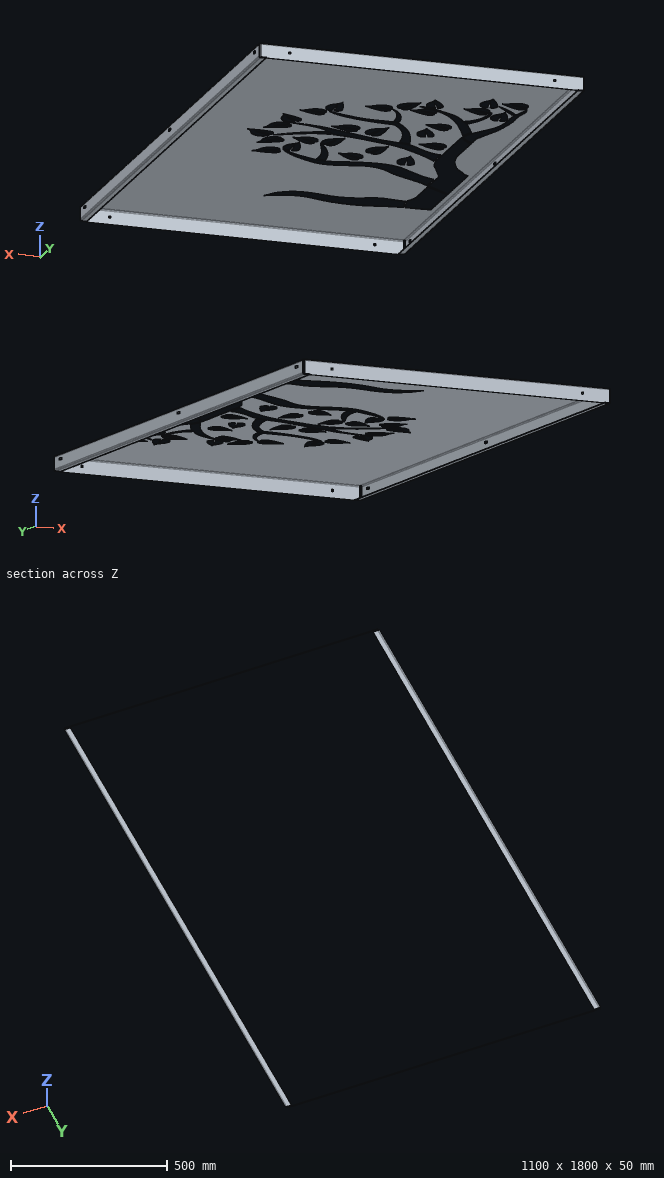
import cadquery as cq

LENGTH = 1800.0
WIDTH = 1100.0
HEIGHT = 50.0
SHEET = 2.2
BEND = 5.0
LIP = 23.0
LIP_CLEARANCE = 2.3

HOLE_DIAMETER = 7.0
HOLE_EDGE = 103.0
SLOT_LENGTH = 18.0
SLOT_HEIGHT = 7.0
SLOT_EDGE = 52.0
SLOT_Z = 32.0

TRUNK_LEFT = 25.0
STEM_LEFT = 122.0
STEM_RIGHT = 171.0
TRUNK_RIGHT = 110.0

TRUNK_FOOT = [
    [(TRUNK_LEFT, 331.0), (TRUNK_LEFT, 495.0)],
    [(TRUNK_LEFT, 495.0), (TRUNK_RIGHT, 553.0)],
    [(TRUNK_RIGHT, 553.0), (TRUNK_RIGHT, 435.0)],
    [(TRUNK_RIGHT, 435.0), (115.0, 415.0), (126.0, 392.0)],
    [(126.0, 392.0), (120.0, 364.0), (112.0, 328.0)],
    [(112.0, 328.0), (72.0, 328.0), (TRUNK_LEFT, 331.0)],
]
ROOT = [
    [(117.0, 325.0), (120.0, 347.0), (126.0, 365.0), (130.0, 389.0)],
    [(130.0, 389.0), (157.0, 389.0), (207.0, 395.0), (241.0, 389.0), (275.0, 375.0), (311.0, 365.0), (347.0, 362.0),
     (405.0, 369.0), (468.0, 376.0), (508.0, 369.0), (531.0, 356.0), (553.0, 338.0), (565.0, 319.0), (578.0, 300.0)],
    [(578.0, 300.0), (544.0, 315.0), (513.0, 328.0), (477.0, 333.0), (446.0, 331.0), (390.0, 315.0), (351.0, 306.0),
     (299.0, 300.0), (252.0, 302.0), (187.0, 315.0), (117.0, 325.0)],
]
TRUNK = [
    [(TRUNK_LEFT, 502.0), (TRUNK_LEFT, 704.0)],
    [(TRUNK_LEFT, 704.0), (38.0, 710.0), (54.0, 729.0), (75.0, 752.0), (92.0, 780.0), (110.0, 823.0), (STEM_LEFT, 882.0)],
    [(STEM_LEFT, 882.0), (STEM_LEFT, 1019.0)],
    [(STEM_LEFT, 1019.0), (151.0, 1045.0), (STEM_RIGHT, 1073.0)],
    [(STEM_RIGHT, 1073.0), (STEM_RIGHT, 810.0)],
    [(STEM_RIGHT, 810.0), (165.0, 783.0), (160.0, 765.0), (145.0, 738.0), (128.0, 700.0), (115.0, 675.0),
     (TRUNK_RIGHT, 640.0)],
    [(TRUNK_RIGHT, 640.0), (TRUNK_RIGHT, 560.0)],
    [(TRUNK_RIGHT, 560.0), (TRUNK_LEFT, 502.0)],
]
LEFT_BOUGH = [
    [(STEM_LEFT, 1028.0), (STEM_LEFT, 1076.0)],
    [(STEM_LEFT, 1076.0), (105.0, 1127.0), (92.0, 1160.0), (81.0, 1193.0), (74.0, 1235.0), (68.0, 1278.0), (68.0, 1341.0),
     (61.0, 1386.0), (70.0, 1422.0)],
    [(70.0, 1422.0), (68.0, 1395.0), (74.0, 1373.0), (85.0, 1332.0), (86.0, 1269.0), (92.0, 1230.0), (99.0, 1206.0),
     (112.0, 1183.0), (140.0, 1140.0), (155.0, 1118.0), (167.0, 1080.0)],
    [(167.0, 1080.0), (167.0, 1071.0)],
    [(167.0, 1071.0), (151.0, 1053.0), (STEM_LEFT, 1028.0)],
]
LEFT_TWIG = [
    [(85.0, 1352.0), (117.0, 1385.0), (160.0, 1415.0)],
    [(160.0, 1415.0), (131.0, 1386.0), (94.0, 1346.0)],
    [(94.0, 1346.0), (85.0, 1352.0)],
]
UPPER_BOUGH = [
    [(173.0, 1089.0), (167.0, 1107.0), (157.0, 1129.0)],
    [(157.0, 1129.0), (178.0, 1168.0), (200.0, 1210.0)],
    [(200.0, 1210.0), (220.0, 1231.0)],
    [(220.0, 1231.0), (238.0, 1255.0), (270.0, 1283.0), (315.0, 1307.0), (360.0, 1330.0), (400.0, 1334.0)],
    [(400.0, 1334.0), (360.0, 1321.0), (328.0, 1305.0), (288.0, 1275.0), (252.0, 1233.0), (215.0, 1174.0), (173.0, 1089.0)],
]
UPPER_TWIG = [
    [(196.0, 1215.0), (173.0, 1256.0), (160.0, 1296.0), (160.0, 1345.0)],
    [(160.0, 1345.0), (165.0, 1345.0)],
    [(165.0, 1345.0), (167.0, 1305.0), (187.0, 1258.0), (216.0, 1233.0)],
    [(216.0, 1233.0), (196.0, 1215.0)],
]
MIDDLE_BOUGH = [
    [(178.0, 814.0), (178.0, 880.0)],
    [(178.0, 880.0), (200.0, 884.0), (255.0, 915.0), (306.0, 947.0), (360.0, 958.0), (428.0, 972.0), (468.0, 985.0),
     (547.0, 1010.0), (621.0, 1033.0), (684.0, 1044.0), (756.0, 1048.0)],
    [(756.0, 1048.0), (684.0, 1037.0), (635.0, 1022.0), (603.0, 1003.0)],
    [(603.0, 1003.0), (570.0, 972.0)],
    [(570.0, 972.0), (491.0, 961.0), (405.0, 940.0), (342.0, 922.0), (270.0, 882.0), (216.0, 846.0), (178.0, 814.0)],
]
DROOPING_TWIG = [
    [(578.0, 970.0), (601.0, 994.0)],
    [(601.0, 994.0), (653.0, 970.0), (693.0, 949.0), (750.0, 905.0)],
    [(750.0, 905.0), (688.0, 940.0), (643.0, 960.0), (578.0, 970.0)],
]
RISING_BOUGH = [
    [(306.0, 954.0), (324.0, 1012.0), (344.0, 1060.0), (380.0, 1116.0), (414.0, 1152.0)],
    [(414.0, 1152.0), (432.0, 1155.0), (495.0, 1155.0), (572.0, 1166.0), (620.0, 1180.0), (659.0, 1195.0)],
    [(659.0, 1195.0), (615.0, 1168.0), (562.0, 1150.0), (511.0, 1140.0), (418.0, 1130.0)],
    [(418.0, 1130.0), (380.0, 1084.0), (356.0, 1030.0), (344.0, 960.0)],
    [(344.0, 960.0), (306.0, 954.0)],
]
RISING_TWIG = [
    [(412.0, 1155.0), (414.0, 1177.0), (435.0, 1238.0), (475.0, 1282.0)],
    [(475.0, 1282.0), (448.0, 1242.0), (434.0, 1195.0), (430.0, 1157.0)],
    [(430.0, 1157.0), (412.0, 1155.0)],
]
LOWER_BOUGH = [
    [(117.0, 565.0), (117.0, 632.0)],
    [(117.0, 632.0), (133.0, 637.0), (198.0, 675.0), (274.0, 722.0), (310.0, 730.0), (360.0, 730.0), (450.0, 713.0),
     (513.0, 702.0), (572.0, 718.0), (630.0, 745.0), (675.0, 775.0)],
    [(675.0, 775.0), (630.0, 730.0), (576.0, 697.0), (513.0, 671.0), (450.0, 675.0), (351.0, 695.0), (293.0, 673.0),
     (261.0, 648.0), (198.0, 614.0), (117.0, 565.0)],
]
LOWER_TWIG = [
    [(510.0, 705.0), (515.0, 747.0), (530.0, 792.0), (580.0, 871.0)],
    [(580.0, 871.0), (553.0, 803.0), (542.0, 765.0), (540.0, 715.0)],
    [(540.0, 715.0), (510.0, 705.0)],
]
BRANCHES = [
    TRUNK_FOOT, ROOT, TRUNK, LEFT_BOUGH, LEFT_TWIG, UPPER_BOUGH, UPPER_TWIG, MIDDLE_BOUGH,
    DROOPING_TWIG, RISING_BOUGH, RISING_TWIG, LOWER_BOUGH, LOWER_TWIG,
]

VEIN_TIP = (0.6, 0.05)
LEAF = [
    [VEIN_TIP, (0.34, 0.06), (0.03, 0.04)],
    [(0.03, 0.04), (0.03, 0.17), (0.15, 0.3), (0.4, 0.35), (0.64, 0.25), (0.8, 0.09), (1.0, 0.0)],
    [(1.0, 0.0), (0.8, -0.08), (0.6, -0.17), (0.36, -0.24), (0.14, -0.26), (0.03, -0.18), (0.03, -0.04)],
    [(0.03, -0.04), (0.32, -0.02), VEIN_TIP],
]

LEFT_FULL_LEAVES = [
    ((72.0, 1427.0), (160.0, 1445.0)),
    ((171.0, 1337.0), (260.0, 1357.0)),
    ((330.0, 1282.0), (418.0, 1290.0)),
    ((477.0, 1278.0), (567.0, 1283.0)),
    ((666.0, 1175.0), (752.0, 1179.0)),
    ((235.0, 1143.0), (322.0, 1163.0)),
    ((187.0, 952.0), (279.0, 965.0)),
    ((510.0, 1044.0), (603.0, 1051.0)),
    ((735.0, 1030.0), (806.0, 972.0)),
    ((711.0, 880.0), (775.0, 817.0)),
    ((598.0, 877.0), (684.0, 904.0)),
    ((679.0, 763.0), (763.0, 730.0)),
    ((409.0, 761.0), (493.0, 794.0)),
]
RIGHT_FULL_LEAVES = [
    ((187.0, 1391.0), (203.0, 1483.0)),
    ((115.0, 1273.0), (122.0, 1365.0)),
    ((345.0, 1335.0), (376.0, 1415.0)),
    ((454.0, 1295.0), (410.0, 1372.0)),
    ((652.0, 1205.0), (648.0, 1298.0)),
    ((279.0, 1042.0), (308.0, 1125.0)),
    ((459.0, 1005.0), (425.0, 1095.0)),
    ((725.0, 1062.0), (792.0, 1125.0)),
    ((760.0, 905.0), (850.0, 940.0)),
    ((562.0, 864.0), (522.0, 947.0)),
    ((648.0, 770.0), (648.0, 862.0)),
    ((250.0, 745.0), (265.0, 837.0)),
    ((398.0, 825.0), (364.0, 910.0)),
]


def closed_face(sides):
    """Face inside a closed outline of straight and curved sides, at the height of the sheet."""
    edges = []
    for side in sides:
        points = [cq.Vector(x, y, HEIGHT - SHEET) for x, y in side]
        if len(points) == 2:
            edges.append(cq.Edge.makeLine(*points))
        else:
            edges.append(cq.Edge.makeSpline(points))
    return cq.Face.makeFromWires(cq.Wire.assembleEdges(edges))


def cutter(sides):
    """Solid that cuts an outline through the sheet, placed on the centred panel."""
    solid = cq.Solid.extrudeLinear(closed_face(sides), cq.Vector(0, 0, SHEET))
    return solid.translate(cq.Vector(-WIDTH / 2, -LENGTH / 2, 0))


def placed_leaf(stalk, tip, full_side):
    """Leaf outline scaled and turned to run from stalk to tip; full_side is 1 (left) or -1 (right)."""
    along_x = tip[0] - stalk[0]
    along_y = tip[1] - stalk[1]

    def place(u, v):
        v *= full_side
        return (stalk[0] + u * along_x - v * along_y, stalk[1] + u * along_y + v * along_x)

    return [[place(u, v) for u, v in side] for side in LEAF]


def rounded_bar(size_x, size_y, size_z, edges, radius, bottom):
    """Box centred on the Z axis, standing on the given height, with the selected edges rounded."""
    base = cq.Workplane("XY", origin=(0, 0, bottom))
    bar = base.box(size_x, size_y, size_z, centered=(True, True, False))
    return bar.edges(edges).fillet(radius)


def folded_long_sides():
    """Sheet with its long sides folded down and then in, as a C on each side."""
    run = LENGTH - 2 * BEND
    inner_radius = BEND - SHEET
    outside = rounded_bar(WIDTH, run, HEIGHT, "|Y", BEND, 0)
    inside = rounded_bar(WIDTH - 2 * SHEET, run, HEIGHT - 2 * SHEET, "|Y", inner_radius, SHEET)
    opening = cq.Workplane("XY").box(WIDTH - 2 * LIP, run, HEIGHT)
    return outside.cut(inside).cut(opening)


def folded_short_sides():
    """Sheet with its short sides folded down, cut at the lower corners to pass the lips."""
    run = WIDTH - 2 * BEND
    outside = rounded_bar(run, LENGTH, HEIGHT, "|X and >Z", BEND, 0)
    inside = rounded_bar(run, LENGTH - 2 * SHEET, HEIGHT - SHEET, "|X and >Z", BEND - SHEET, 0)
    notches = (
        cq.Workplane("XY")
        .pushPoints([(-WIDTH / 2, 0), (WIDTH / 2, 0)])
        .box(2 * LIP, LENGTH, 2 * LIP_CLEARANCE)
    )
    return outside.cut(inside).cut(notches)


def mounting_holes():
    """Round holes through the short flanges and slots through the long flanges."""
    hole_x = WIDTH / 2 - HOLE_EDGE
    slot_y = LENGTH / 2 - SLOT_EDGE
    holes = (
        cq.Workplane("XZ")
        .pushPoints([(-hole_x, HEIGHT / 2), (hole_x, HEIGHT / 2)])
        .circle(HOLE_DIAMETER / 2)
        .extrude(LENGTH / 2, both=True)
    )
    slots = (
        cq.Workplane("YZ")
        .pushPoints([(-slot_y, SLOT_Z), (0, SLOT_Z), (slot_y, SLOT_Z)])
        .slot2D(SLOT_LENGTH, SLOT_HEIGHT)
        .extrude(WIDTH / 2, both=True)
    )
    return holes, slots


panel = folded_long_sides().union(folded_short_sides())
for holes in mounting_holes():
    panel = panel.cut(holes)

tree = [cutter(branch) for branch in BRANCHES]
tree += [cutter(placed_leaf(stalk, tip, 1)) for stalk, tip in LEFT_FULL_LEAVES]
tree += [cutter(placed_leaf(stalk, tip, -1)) for stalk, tip in RIGHT_FULL_LEAVES]
result = cq.Workplane("XY").newObject([panel.val().cut(*tree)])